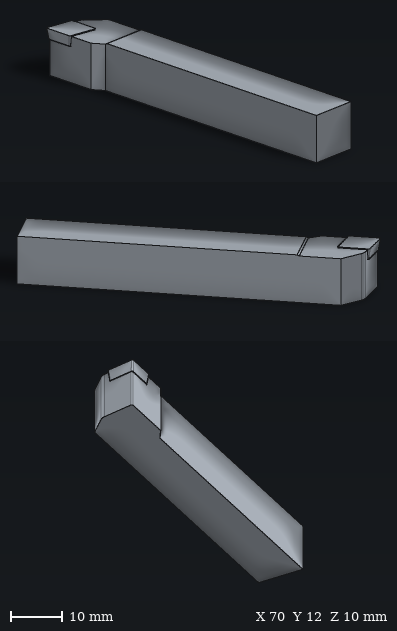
import cadquery as cq
import math

length = 70.0
shank_size = 10.0
nose_overhang = 1.95
insert_side = 6.45
insert_angle = 80.0
insert_thickness = 2.4
insert_relief_angle = 7.0
nose_radius = 0.3
head_clearance = 0.4
head_drop = 0.2
head_length = 14.0
step_run = 0.4
front_bevel_start = 11.6
back_bevel_start = 5.75
back_bevel_radius = 2.1

angle = math.radians(insert_angle)
corner_x = nose_radius - nose_radius / math.tan(angle / 2)
corner_y = -nose_overhang


def inset_corner(inset):
    """Nose corner after both of its edges move inward by inset."""
    return corner_x + inset / math.tan(angle / 2), corner_y + inset


def insert_outline(inset):
    """Rounded rhombus, every edge moved inward by inset."""
    x, y = inset_corner(inset)
    side = insert_side - 2 * inset / math.sin(angle)
    dx = side * math.cos(angle)
    dy = side * math.sin(angle)
    corners = [(x, y), (x + side, y), (x + side + dx, y + dy), (x + dx, y + dy)]
    face = cq.Sketch().polygon(corners + corners[:1])
    return face.vertices().fillet(nose_radius)


def make_insert():
    """Insert narrowing downward from its cutting edges."""
    bottom_inset = insert_thickness * math.tan(math.radians(insert_relief_angle))
    return (
        cq.Workplane("XY")
        .workplane(offset=shank_size - insert_thickness)
        .placeSketch(
            insert_outline(bottom_inset),
            insert_outline(0).moved(cq.Location(cq.Vector(0, 0, insert_thickness))),
        )
        .loft(ruled=True)
    )


def make_blank():
    """Shank and head as one full-height prism."""
    nose_x, nose_y = inset_corner(head_clearance)
    bevel_offset = shank_size - back_bevel_start
    flank_slope = math.tan(angle)
    bend_x = (flank_slope * nose_x - nose_y + bevel_offset) / (flank_slope - 1)
    bend_y = bend_x + bevel_offset
    blank = (
        cq.Workplane("XY")
        .moveTo(nose_x, nose_y)
        .lineTo(front_bevel_start, nose_y)
        .lineTo(head_length, 0)
        .lineTo(length, 0)
        .lineTo(length, shank_size)
        .lineTo(back_bevel_start, shank_size)
        .lineTo(bend_x, bend_y)
        .close()
        .extrude(shank_size)
    )
    mid_height = shank_size / 2
    blank = blank.edges(cq.NearestToPointSelector((nose_x, nose_y, mid_height))).fillet(nose_radius)
    return blank.edges(cq.NearestToPointSelector((bend_x, bend_y, mid_height))).fillet(back_bevel_radius)


def make_head_relief():
    """Thin layer removed above the head, ending in a slope up to the shank."""
    head_top = shank_size - head_drop
    return (
        cq.Workplane("XZ")
        .moveTo(0, head_top)
        .lineTo(head_length, head_top)
        .lineTo(head_length + step_run, shank_size)
        .lineTo(0, shank_size)
        .close()
        .extrude(shank_size, both=True)
    )


insert = make_insert()
holder = make_blank().cut(make_head_relief()).cut(insert)

result = cq.Compound.makeCompound([holder.val(), insert.val()])